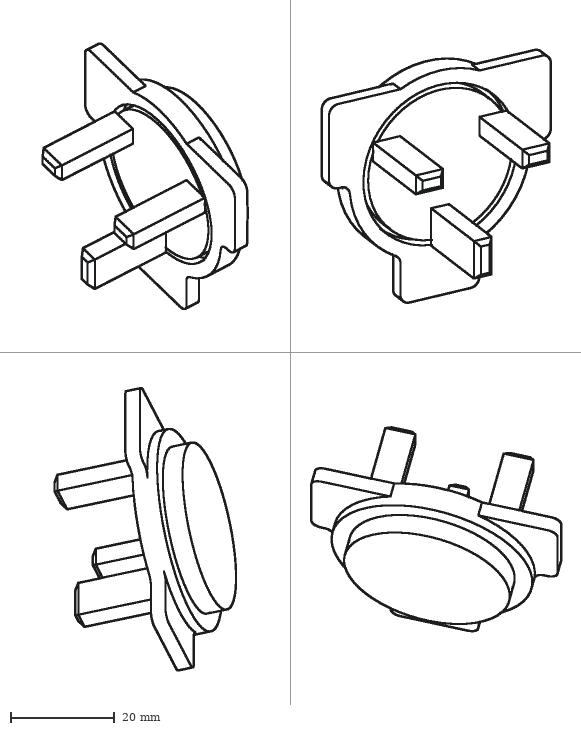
import cadquery as cq


disc_diameter = 40.0
disc_thickness = 5.0
boss_diameter = 33.0
boss_height = 4.0

groove_outer_diameter = 33.85
groove_inner_diameter = 31.75
groove_depth = 3.0

plate_thickness = 3.0
wing_span = 49.0
wing_top = 18.0
wing_bottom = 0.0
tab_width = 17.45
tab_bottom = -28.05
corner_radius = 2.0
selection_margin = 0.5

pin_length = 18.0
tip_chamfer = 1.0
live_pin_width = 6.0
live_pin_height = 4.0
left_pin_center = (-11.8, 6.0)
right_pin_center = (11.7, 6.1)
earth_pin_width = 3.9
earth_pin_height = 8.0
earth_pin_center = (0, -13.0)


def cylinder(diameter, start, length):
    """Cylinder about the Y axis, running from y = start toward +Y."""
    return cq.Workplane("XZ", origin=(0, start, 0)).circle(diameter / 2).extrude(-length)


def plate_block(width, bottom, top):
    """Rectangular plate centred on x = 0 with its front on y = 0."""
    return (
        cq.Workplane("XY")
        .box(width, plate_thickness, top - bottom, centered=(True, False, False))
        .translate((0, 0, bottom))
    )


def flange():
    """Wings and tab joined by a disc, with their corners rounded."""
    wings = plate_block(wing_span, wing_bottom, wing_top)
    tab = plate_block(tab_width, tab_bottom, 0)
    outline = cylinder(disc_diameter, 0, plate_thickness).union(wings).union(tab)
    wing_ends = outline.edges("|Y").edges("<X or >X")
    lower_corners = cq.selectors.BoxSelector(
        (-wing_span, -selection_margin, tab_bottom - selection_margin),
        (wing_span, plate_thickness + selection_margin, wing_bottom + selection_margin),
    )
    rounded = wing_ends.add(outline.edges("|Y").edges(lower_corners))
    return rounded.fillet(corner_radius)


def pin(width, height, center):
    """Rectangular pin with a chamfered tip; center is its (x, z) position."""
    return (
        cq.Workplane("XZ")
        .center(*center)
        .rect(width, height)
        .extrude(pin_length)
        .faces("<Y")
        .chamfer(tip_chamfer)
    )


disc = cylinder(disc_diameter, 0, disc_thickness)
boss = cylinder(boss_diameter, disc_thickness, boss_height)
groove = cylinder(groove_outer_diameter, 0, groove_depth).cut(
    cylinder(groove_inner_diameter, 0, groove_depth)
)
body = flange().union(disc).union(boss).cut(groove)

result = (
    body.union(pin(live_pin_width, live_pin_height, left_pin_center))
    .union(pin(live_pin_width, live_pin_height, right_pin_center))
    .union(pin(earth_pin_width, earth_pin_height, earth_pin_center))
)